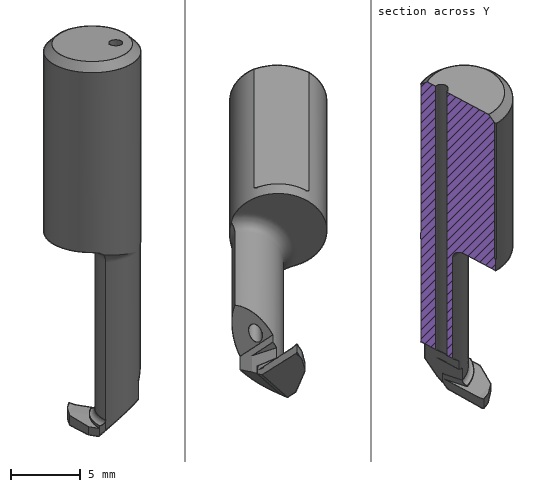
import cadquery as cq
import math

total_height = 30.0
shank_diameter = 7.0
shank_radius = shank_diameter / 2
shank_bottom = 15.0
top_chamfer = 0.6

flat_distance = 2.88
flat_bottom = 16.08
flat_end_radius = 0.18
flat_direction = 135.0

neck_half_width = 1.55
neck_half_depth = 2.52
neck_center_x = shank_radius - neck_half_width
neck_fillet = 1.0

hole_diameter = 1.0
hole_x = 1.53
hole_y = 0.72

relief_y = 0.15
relief_start_z = 5.95
corner_cut_z = 2.1
pocket_floor_y = -0.27
pocket_end_x = 2.35
pocket_top_z = 2.75
pocket_top_angle = 30.0
tip_face_y = 0.03

tip_joint_z = 1.38
tip_left = -1.8
foot_top = 0.9
foot_front = -2.8
foot_front_left = 0.72
foot_front_right = 1.55
foot_bottom_rise = 0.12
foot_front_top = 0.78
side_facet_end = (-1.65, -0.7)
nose_facet_end = (-1.1, -1.68)
edge_lip = 0.1
edge_lip_length = 0.48
edge_corner_rise = 0.05
edge_corner_length = 0.12
root_fillet = 0.4

reach = 2 * shank_diameter


def extrude_along_x(points):
    """Prism across the part from an outline of (Y, Z) points."""
    return cq.Workplane("YZ").polyline(points).close().extrude(reach, both=True)


def extrude_along_y(points):
    """Prism across the part from an outline of (X, Z) points."""
    return cq.Workplane("XZ").polyline(points).close().extrude(reach, both=True)


def flared_lens(straight_end, flare_end, flare_radius, base_end):
    """Lens-shaped neck from one height to another, with a concave flare into a wider base.

    It is the common part of two flared round columns set side by side.
    """
    column_radius = (neck_half_width**2 + neck_half_depth**2) / (2 * neck_half_width)
    column_offset = column_radius - neck_half_width
    wide_radius = column_radius + flare_radius
    direction = math.copysign(1, flare_end - straight_end)
    flare_start = flare_end - direction * flare_radius
    slant = flare_radius * math.sqrt(0.5)
    column = (
        cq.Workplane("XZ")
        .moveTo(0, straight_end)
        .lineTo(column_radius, straight_end)
        .lineTo(column_radius, flare_start)
        .threePointArc(
            (wide_radius - slant, flare_start + direction * slant),
            (wide_radius, flare_end),
        )
        .lineTo(wide_radius, base_end)
        .lineTo(0, base_end)
        .close()
        .revolve(360, (0, 0, 0), (0, 1, 0))
    )
    left_column = column.translate((neck_center_x - column_offset, 0, 0))
    right_column = column.translate((neck_center_x + column_offset, 0, 0))
    return left_column.intersect(right_column)


def make_shank_blank():
    """Round shank and neck, with the root flare trimmed to the shank's round surface."""
    shank = cq.Workplane("XY", origin=(0, 0, shank_bottom)).circle(shank_radius)
    shank = shank.extrude(total_height - shank_bottom).faces(">Z").chamfer(top_chamfer)
    envelope = cq.Workplane("XY").circle(shank_radius).extrude(total_height)
    neck_base = shank_bottom + neck_fillet
    neck = flared_lens(0, shank_bottom, neck_fillet, neck_base).intersect(envelope)
    return shank.union(neck)


def clamping_flat():
    cut_height = total_height - flat_bottom
    return (
        cq.Workplane("XY")
        .box(shank_radius, reach, cut_height, centered=(False, True, False))
        .edges("<X and <Z")
        .fillet(flat_end_radius)
        .translate((flat_distance, 0, flat_bottom))
        .rotate((0, 0, 0), (0, 0, 1), flat_direction)
    )


def coolant_hole():
    return cq.Workplane("XY").center(hole_x, hole_y).circle(hole_diameter / 2).extrude(total_height)


def back_relief():
    """Removes the +Y half of the neck end, rising at 45 degrees to the back."""
    ramp_start_z = relief_start_z - (neck_half_depth - relief_y)
    ramp_end_y = shank_radius
    ramp_end_z = ramp_start_z + ramp_end_y - relief_y
    return extrude_along_x(
        [(relief_y, 0), (ramp_end_y, 0), (ramp_end_y, ramp_end_z), (relief_y, ramp_start_z)]
    )


def corner_cut():
    """45 degree cut under the +X side."""
    lower_x = shank_radius - corner_cut_z
    outer_x = lower_x + shank_diameter
    return extrude_along_y([(lower_x, 0), (outer_x, 0), (outer_x, shank_diameter)])


def chip_pocket(bottom):
    """Shallow pocket behind the tip, with a raked floor and a sloping top."""
    neck_left = neck_center_x - neck_half_width
    rake = (relief_y - pocket_floor_y) / (pocket_end_x - neck_left)
    floor_at_tip = pocket_floor_y - rake * (neck_left - tip_left)
    plan = (
        cq.Workplane("XY", origin=(0, 0, bottom))
        .polyline(
            [
                (tip_left, floor_at_tip),
                (pocket_end_x, relief_y),
                (pocket_end_x, shank_radius),
                (tip_left, shank_radius),
            ]
        )
        .close()
        .extrude(pocket_top_z - bottom)
    )
    lower_y = pocket_floor_y - shank_radius
    lower_z = pocket_top_z - (relief_y - lower_y) * math.tan(math.radians(pocket_top_angle))
    sloping_top = extrude_along_x(
        [
            (lower_y, -reach),
            (shank_radius, -reach),
            (shank_radius, pocket_top_z),
            (relief_y, pocket_top_z),
            (lower_y, lower_z),
        ]
    )
    return plan.intersect(sloping_top)


def tip_seat():
    """Corner of the neck end that the tip fills, bounded by a level and an upright face."""
    return cq.Workplane("XY").box(
        reach, reach, tip_joint_z, centered=(False, True, False)
    ).translate((neck_center_x - reach, 0, 0))


def make_holder():
    holder = make_shank_blank()
    for cut in (clamping_flat(), coolant_hole(), back_relief(), corner_cut(), chip_pocket(0), tip_seat()):
        holder = holder.cut(cut)
    return holder


def foot_plan():
    """Hooked foot seen along Z, with two relief facets behind the cutting edge."""
    return (
        cq.Workplane("XY")
        .polyline(
            [
                (tip_left, tip_face_y),
                side_facet_end,
                nose_facet_end,
                (foot_front_left, foot_front),
                (foot_front_right, foot_front),
                (neck_center_x, -neck_half_depth),
                (neck_center_x, tip_face_y),
            ]
        )
        .close()
        .extrude(tip_joint_z)
    )


def foot_side_profile():
    """Foot seen along Y, with a raised lip along the cutting edge."""
    return extrude_along_y(
        [
            (tip_left, edge_corner_rise),
            (tip_left + edge_corner_length, 0),
            (neck_center_x, foot_bottom_rise),
            (neck_center_x, foot_top),
            (tip_left + edge_lip_length, foot_top),
            (tip_left, foot_top + edge_lip),
        ]
    )


def foot_relief_profile():
    """Foot seen along X, thinning towards -Y."""
    lip_top = foot_top + edge_lip
    return extrude_along_x(
        [
            (tip_face_y, 0),
            (foot_front, foot_bottom_rise),
            (foot_front, foot_front_top),
            (tip_face_y, lip_top),
        ]
    )


def tip_root():
    """Short neck stub above the foot, flaring out along its lower edge."""
    stub_bottom = foot_top / 2
    stub = flared_lens(pocket_top_z, tip_joint_z - root_fillet, root_fillet, stub_bottom)
    return stub.intersect(foot_plan())


def make_cutting_tip():
    foot = foot_plan().intersect(foot_side_profile()).intersect(foot_relief_profile())
    root = tip_root().cut(chip_pocket(foot_top))
    return foot.union(root).cut(corner_cut())


holder = make_holder()
cutting_tip = make_cutting_tip()
result = cq.Compound.makeCompound([holder.val(), cutting_tip.val()])